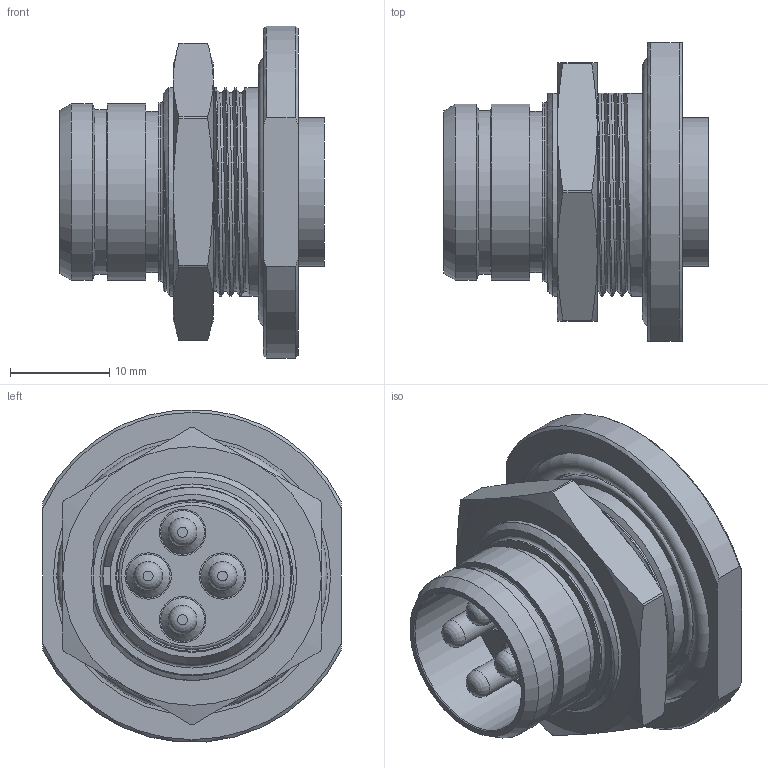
import cadquery as cq
import math

TOTAL_LENGTH = 26.64

NOSE_RADIUS = 8.2
RING_RADIUS = 8.9
NOSE_CHAMFER_END = 1.2
FRONT_RING_END = 3.3
GROOVE_RADIUS = 8.28
GROOVE_START = 3.55
GROOVE_END = 4.7
REAR_RING_START = 4.8
REAR_RING_END = 8.65
NECK_RADIUS = 8.1
NECK_END = 9.95
SHOULDER_RADIUS = 8.95
SHOULDER_FILLET = 0.3

KEYWAY_WIDTH = 2.0
KEYWAY_FLOOR = 8.15

BORE_RADIUS = 7.57
BORE_CHAMFER = 0.1
INSERT_FACE = 8.1
INSERT_RADIUS = 7.4
INSERT_EDGE_ROUND = 0.3

PIN_RADIUS = 1.45
PIN_TIP_FLAT_RADIUS = 0.5
PIN_TIP = 1.55
PIN_TIP_LENGTH = 1.1
PIN_FOOT_RADIUS = 2.2
PIN_FOOT_HEIGHT = 0.8
PIN_RECESS_RADIUS = 2.33
PIN_RECESS_DEPTH = 0.1
PIN_CENTRES = [(4.41, 0.0), (-3.08, 0.0), (0.95, 4.4), (0.95, -4.4)]

THREAD_START = 10.45
THREAD_RADIUS = 10.5
THREAD_LEAD_RADIUS = 9.95
THREAD_PITCH = 1.0
THREAD_TURNS = 9
THREAD_DEPTH = 0.5
THREAD_ROOT_WIDTH = 0.26
THREAD_MOUTH_WIDTH = 0.88
THREAD_RUNOUT = 18.69
BARREL_FLAT = 9.93

NUT_START = 11.45
NUT_WIDTH = 4.0
NUT_ACROSS_FLATS = 26.0
NUT_CORNER_RADIUS = 14.95
NUT_FACE_RADIUS = 13.0
NUT_CHAMFER = 0.55
NUT_BORE_RADIUS = 10.1

FLANGE_START = 20.5
FLANGE_END = 24.0
FLANGE_RADIUS = 16.75
FLANGE_CHAMFER = 0.3
FLANGE_ACROSS_FLATS = 30.0
COLLAR_START = 20.33
COLLAR_RADIUS = 11.4
COLLAR_ROUND = 0.35
SEAL_GROOVE_RADIUS = 13.93
SEAL_GROOVE_FLOOR = 21.9
SEAL_CENTRE_RADIUS = 12.6
SEAL_SECTION_RADIUS = 1.0
SEAL_CENTRE = 21.0

STUB_RADIUS = 7.5


def turned(profile):
    """Revolve an (X, radius) profile about the X axis."""
    return profile.close().revolve(360, (0, 0, 0), (1, 0, 0))


def x_cylinder(radius, start, end, y=0.0, z=0.0):
    disc = cq.Workplane("YZ", origin=(start, y, z)).circle(radius)
    return disc.extrude(end - start)


def make_shell():
    lead_end = THREAD_START + THREAD_RADIUS - THREAD_LEAD_RADIUS
    profile = (
        cq.Workplane("XY")
        .moveTo(0, 0)
        .lineTo(0, NOSE_RADIUS)
        .lineTo(NOSE_CHAMFER_END, RING_RADIUS)
        .lineTo(FRONT_RING_END, RING_RADIUS)
        .lineTo(GROOVE_START, GROOVE_RADIUS)
        .lineTo(GROOVE_END, GROOVE_RADIUS)
        .lineTo(REAR_RING_START, GROOVE_RADIUS + REAR_RING_START - GROOVE_END)
        .lineTo(REAR_RING_START, RING_RADIUS)
        .lineTo(REAR_RING_END, RING_RADIUS)
        .lineTo(REAR_RING_END, NECK_RADIUS)
        .lineTo(NECK_END, NECK_RADIUS)
        .lineTo(NECK_END, SHOULDER_RADIUS)
        .lineTo(THREAD_START - SHOULDER_FILLET, SHOULDER_RADIUS)
        .radiusArc((THREAD_START, SHOULDER_RADIUS + SHOULDER_FILLET), -SHOULDER_FILLET)
        .lineTo(THREAD_START, THREAD_LEAD_RADIUS)
        .lineTo(lead_end, THREAD_RADIUS)
        .lineTo(FLANGE_START, THREAD_RADIUS)
        .lineTo(FLANGE_START, 0)
    )
    return turned(profile)


def make_thread_groove():
    """Right-handed helical cutter that runs out at the underside of the barrel."""
    clearance = 0.05
    root_radius = THREAD_RADIUS - THREAD_DEPTH
    length = THREAD_TURNS * THREAD_PITCH
    flank_slope = (THREAD_MOUTH_WIDTH - THREAD_ROOT_WIDTH) / 2 / THREAD_DEPTH
    root_half = THREAD_ROOT_WIDTH / 2
    outer_half = THREAD_MOUTH_WIDTH / 2 + clearance * flank_slope
    helix = cq.Wire.makeHelix(THREAD_PITCH, length, root_radius)
    cutter = (
        cq.Workplane("XZ")
        .moveTo(root_radius, -root_half)
        .lineTo(THREAD_RADIUS + clearance, -outer_half)
        .lineTo(THREAD_RADIUS + clearance, outer_half)
        .lineTo(root_radius, root_half)
        .close()
        .sweep(cq.Workplane(obj=helix), isFrenet=True)
    )
    cutter = cutter.rotate((0, 0, 0), (0, 1, 0), 90)
    return cutter.translate((THREAD_RUNOUT - length, 0, 0))


def make_thread_cutters():
    """The parts of the groove in front of the nut and behind it."""
    clearance = 0.05
    groove = make_thread_groove()
    ahead = x_cylinder(FLANGE_RADIUS, THREAD_START - clearance, NUT_START)
    behind = x_cylinder(FLANGE_RADIUS, NUT_START + NUT_WIDTH, FLANGE_START)
    return [groove.intersect(ahead), groove.intersect(behind)]


def cut_above_flat(body, flat, start, end):
    """Remove everything beyond Y = flat between two X positions."""
    span = 2 * FLANGE_RADIUS
    block = cq.Workplane("XY").box(end - start, span, span, centered=(False, False, True))
    return body.cut(block.translate((start, flat, 0)))


def cut_keyway(body):
    slot = cq.Workplane("XY").box(NECK_END, RING_RADIUS, KEYWAY_WIDTH, centered=(False, False, True))
    return body.cut(slot.translate((0, KEYWAY_FLOOR, 0)))


def make_socket():
    """Cavity in front of the insert, leaving the rounded edge of the insert standing."""
    edge_radius = INSERT_RADIUS - INSERT_EDGE_ROUND
    profile = (
        cq.Workplane("XY")
        .moveTo(0, 0)
        .lineTo(0, BORE_RADIUS + BORE_CHAMFER)
        .lineTo(BORE_CHAMFER, BORE_RADIUS)
        .lineTo(INSERT_FACE + INSERT_EDGE_ROUND, BORE_RADIUS)
        .lineTo(INSERT_FACE + INSERT_EDGE_ROUND, INSERT_RADIUS)
        .radiusArc((INSERT_FACE, edge_radius), -INSERT_EDGE_ROUND)
        .lineTo(INSERT_FACE, 0)
    )
    return turned(profile)


def make_pin():
    """Pin on the X axis with a rounded tip and a conical foot in the insert face."""
    tip_drop = PIN_RADIUS - PIN_TIP_FLAT_RADIUS
    tip_round = (PIN_TIP_LENGTH**2 + tip_drop**2) / (2 * tip_drop)
    foot = INSERT_FACE + PIN_RECESS_DEPTH
    profile = (
        cq.Workplane("XY")
        .moveTo(PIN_TIP, 0)
        .lineTo(PIN_TIP, PIN_TIP_FLAT_RADIUS)
        .radiusArc((PIN_TIP + PIN_TIP_LENGTH, PIN_RADIUS), tip_round)
        .lineTo(foot - PIN_FOOT_HEIGHT, PIN_RADIUS)
        .lineTo(foot, PIN_FOOT_RADIUS)
        .lineTo(foot, 0)
    )
    return turned(profile)


def add_pins(body):
    pin = make_pin()
    for y, z in PIN_CENTRES:
        body = body.cut(x_cylinder(PIN_RECESS_RADIUS, INSERT_FACE, INSERT_FACE + PIN_RECESS_DEPTH, y, z))
        body = body.union(pin.translate((0, y, z)))
    return body


def make_nut():
    """Hexagon with corners on the Z axis, chamfered on both faces."""
    nut_end = NUT_START + NUT_WIDTH
    corner_diameter = NUT_ACROSS_FLATS / math.cos(math.radians(30))
    hexagon = cq.Workplane("YZ", origin=(NUT_START, 0, 0)).polygon(6, corner_diameter).extrude(NUT_WIDTH)
    hexagon = hexagon.rotate((0, 0, 0), (1, 0, 0), 90)
    envelope = turned(
        cq.Workplane("XY")
        .moveTo(NUT_START, 0)
        .lineTo(NUT_START, NUT_FACE_RADIUS)
        .lineTo(NUT_START + NUT_CHAMFER, NUT_CORNER_RADIUS)
        .lineTo(nut_end - NUT_CHAMFER, NUT_CORNER_RADIUS)
        .lineTo(nut_end, NUT_FACE_RADIUS)
        .lineTo(nut_end, 0)
    )
    bore = x_cylinder(NUT_BORE_RADIUS, NUT_START, nut_end)
    core = cut_above_flat(bore, BARREL_FLAT, NUT_START, nut_end)
    return hexagon.intersect(envelope).cut(bore).union(core)


def make_flange():
    rim = FLANGE_RADIUS - FLANGE_CHAMFER
    profile = (
        cq.Workplane("XY")
        .moveTo(COLLAR_START, 0)
        .lineTo(COLLAR_START, COLLAR_RADIUS - COLLAR_ROUND)
        .radiusArc((COLLAR_START + COLLAR_ROUND, COLLAR_RADIUS), COLLAR_ROUND)
        .lineTo(SEAL_GROOVE_FLOOR, COLLAR_RADIUS)
        .lineTo(SEAL_GROOVE_FLOOR, SEAL_GROOVE_RADIUS)
        .lineTo(FLANGE_START, SEAL_GROOVE_RADIUS)
        .lineTo(FLANGE_START, rim)
        .lineTo(FLANGE_START + FLANGE_CHAMFER, FLANGE_RADIUS)
        .lineTo(FLANGE_END - FLANGE_CHAMFER, FLANGE_RADIUS)
        .lineTo(FLANGE_END, rim)
        .lineTo(FLANGE_END, 0)
    )
    diameter = 2 * FLANGE_RADIUS
    flats = cq.Workplane("XY").box(TOTAL_LENGTH, FLANGE_ACROSS_FLATS, diameter, centered=(False, True, True))
    return turned(profile).intersect(flats.translate((COLLAR_START, 0, 0)))


def make_seal():
    section = cq.Workplane("XY").center(SEAL_CENTRE, SEAL_CENTRE_RADIUS).circle(SEAL_SECTION_RADIUS)
    return section.revolve(360, (0, -SEAL_CENTRE_RADIUS, 0), (1, -SEAL_CENTRE_RADIUS, 0))


shell = cut_above_flat(make_shell(), BARREL_FLAT, THREAD_START, FLANGE_START)
shell = cut_keyway(shell).cut(make_socket())
shell = add_pins(shell)

flange = make_flange().union(make_seal())
stub = x_cylinder(STUB_RADIUS, FLANGE_END, TOTAL_LENGTH)

body = shell.union(make_nut()).union(flange).union(stub)
for cutter in make_thread_cutters():
    body = body.cut(cutter)
result = body